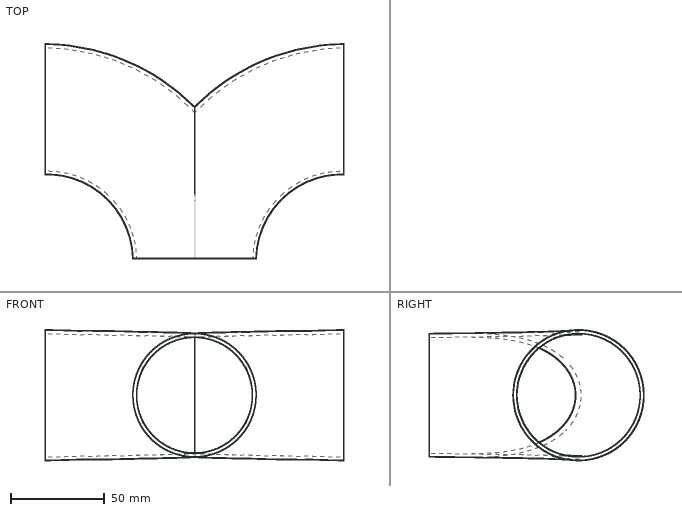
import cadquery as cq
import math

BEND_RADIUS = 80.0
INLET_RADIUS = 33.0
OUTLET_RADIUS = 35.0
WALL = 2.0

HALF_SPACE_SIZE = 2 * (BEND_RADIUS + OUTLET_RADIUS)

INLET_PLANE = cq.Plane(origin=(0, 0, 0), xDir=(1, 0, 0), normal=(0, 1, 0))
OUTLET_PLANE = cq.Plane(
    origin=(BEND_RADIUS, BEND_RADIUS, 0),
    xDir=(0, -1, 0),
    normal=(1, 0, 0),
)


def elbow(inlet_radius, outlet_radius):
    """Solid quarter bend from the inlet to the +X outlet, widening along its length."""
    half_bend = math.radians(45)
    bend_path = cq.Workplane("XY").threePointArc(
        (BEND_RADIUS * (1 - math.cos(half_bend)), BEND_RADIUS * math.sin(half_bend)),
        (BEND_RADIUS, BEND_RADIUS),
    )
    return (
        cq.Workplane(INLET_PLANE)
        .circle(inlet_radius)
        .copyWorkplane(cq.Workplane(OUTLET_PLANE))
        .circle(outlet_radius)
        .sweep(bend_path, multisection=True)
    )


def half_fitting():
    """Hollow elbow trimmed at the symmetry plane X = 0."""
    outside = elbow(INLET_RADIUS, OUTLET_RADIUS)
    bore = elbow(INLET_RADIUS - WALL, OUTLET_RADIUS - WALL)
    positive_x = cq.Workplane("XY").box(
        HALF_SPACE_SIZE,
        2 * HALF_SPACE_SIZE,
        HALF_SPACE_SIZE,
        centered=(False, True, True),
    )
    return outside.cut(bore).intersect(positive_x)


right_half = half_fitting()
left_half = right_half.mirror("YZ")
result = right_half.union(left_half)